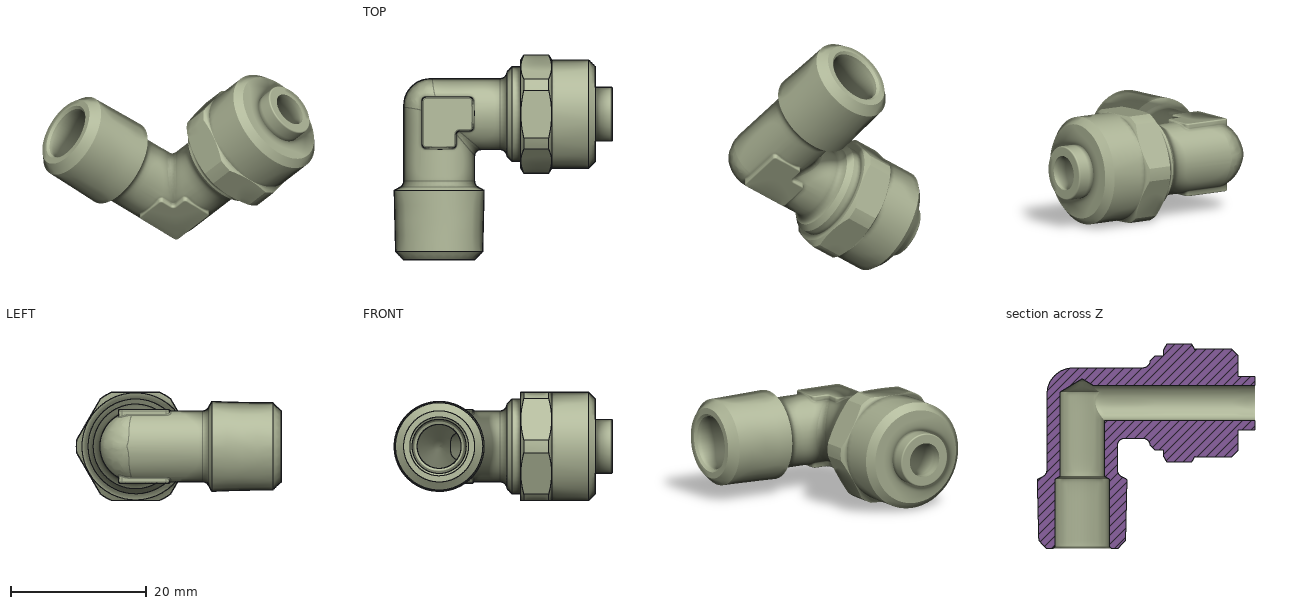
import cadquery as cq
import math

body_radius = 5.25
outer_bend_radius = 4.0
inner_bend_radius = 0.9
bend_level = 5.0

pad_height = 5.45
pad_root = 4.0
pad_half_width = 2.5
pad_length = 5.0
pad_corner_radius = 0.5
pad_edge_radius = 0.2
pad_base_radius = 0.2

neck_radius = 1.0

thread_neck_start = 9.9
thread_neck_width = 0.85
thread_start = 11.25
thread_chamfer_start = 20.25
thread_end = 21.5
thread_big_radius = 6.65
thread_small_radius = 6.44
thread_tip_radius = 5.25

collar_neck_start = 9.0
collar_radius = 7.0
nut_start = 12.0
hex_end = 16.65
hex_across_flats = 16.0
hex_corner_radius = 8.74
hex_face_radius = 7.9
hex_chamfer_angle = 30.0
sleeve_radius = 8.0
sleeve_chamfer = 1.0
sleeve_end = 23.05

tube_radius = 4.0
tube_end = 25.55
tube_edge_radius = 0.2

mouth_radius = 4.34
bore_radius = 4.0
bore_step = thread_start
inner_bore_radius = 3.25
inner_bore_floor = 1.6
drill_point_angle = 118.0
cross_bore_radius = 2.55


def turned_about_x(profile):
    """Solid of revolution about the X axis."""
    return profile.close().revolve(360, (0, 0, 0), (1, 0, 0))


def turned_about_y(profile):
    """Solid of revolution about the Y axis."""
    return profile.close().revolve(360, (0, 0, 0), (0, 1, 0))


def mitred_leg(plane, leg_end, mitre_side):
    """A round leg that runs past the origin and is cut off along the 45 degree mitre plane.

    mitre_side is +1 to keep the +X +Y side of the mitre plane and -1 to keep the other side.
    """
    overrun = 2 * body_radius
    leg = cq.Workplane(plane).workplane(offset=-overrun).circle(body_radius).extrude(overrun + leg_end)
    reach = 2 * leg_end
    kept_side = (
        cq.Workplane("XY")
        .polyline([(-reach, reach), (mitre_side * reach, mitre_side * reach), (reach, -reach)])
        .close()
        .extrude(2 * body_radius, both=True)
    )
    return leg.intersect(kept_side)


def make_elbow():
    """Two mitred legs, with the outer and inner side of the bend rounded."""
    sharp = mitred_leg("YZ", collar_neck_start, 1).union(mitred_leg("XZ", thread_neck_start, -1))
    slab_size = 4 * thread_neck_start
    slab = cq.Workplane("XY").box(slab_size, slab_size, 2 * bend_level)
    bend = sharp.intersect(slab)
    bend = bend.edges("%ELLIPSE").edges("<X").fillet(outer_bend_radius)
    bend = bend.edges("%ELLIPSE").edges(">X").fillet(inner_bend_radius)
    return bend.union(sharp.cut(slab))


def make_pad():
    """Upper L-shaped pad with rounded corners; its foot is inside the elbow."""
    side = pad_half_width
    outline = [
        (-side, side),
        (pad_length, side),
        (pad_length, -side),
        (side, -side),
        (side, -pad_length),
        (-side, -pad_length),
    ]
    pad = (
        cq.Workplane("XY", origin=(0, 0, pad_root))
        .polyline(outline)
        .close()
        .extrude(pad_height - pad_root)
    )
    return pad.edges("|Z").fillet(pad_corner_radius)


def add_pads(elbow):
    """Joins a pad to the top and one to the bottom, blends their feet and rounds their flat faces."""
    upper_pad = make_pad()
    body = elbow.union(upper_pad).union(upper_pad.mirror("XY"))
    beyond_pad = pad_length + pad_base_radius
    for side in (1, -1):
        foot_edges = cq.selectors.BoxSelector(
            (-beyond_pad, -beyond_pad, side * pad_root), (beyond_pad, beyond_pad, side * body_radius)
        )
        body = body.edges(foot_edges).edges("not |Z").fillet(pad_base_radius)
    return body.faces(">Z or <Z").edges().fillet(pad_edge_radius)


def make_threaded_end():
    """Concave neck, shoulder and slightly tapered thread body."""
    neck_end = thread_neck_start + thread_neck_width
    neck_rise = neck_radius - math.sqrt(neck_radius**2 - thread_neck_width**2)
    return turned_about_y(
        cq.Workplane("XY")
        .moveTo(0, -thread_neck_start)
        .lineTo(body_radius, -thread_neck_start)
        .radiusArc((body_radius + neck_rise, -neck_end), -neck_radius)
        .lineTo(thread_big_radius, -thread_start)
        .lineTo(thread_small_radius, -thread_chamfer_start)
        .lineTo(thread_tip_radius, -thread_end)
        .lineTo(0, -thread_end)
    )


def make_collar():
    """Concave neck, 45 degree shoulder and collar behind the nut."""
    neck_end = collar_neck_start + neck_radius
    neck_top = body_radius + neck_radius
    shoulder = collar_radius - neck_top
    return turned_about_x(
        cq.Workplane("XY")
        .moveTo(collar_neck_start, 0)
        .lineTo(collar_neck_start, body_radius)
        .radiusArc((neck_end, neck_top), -neck_radius)
        .lineTo(neck_end + shoulder, collar_radius)
        .lineTo(nut_start, collar_radius)
        .lineTo(nut_start, 0)
    )


def make_hexagon():
    """Hexagon with two flats facing Z, its corners turned down and chamfered at both ends."""
    hex_length = hex_end - nut_start
    across_corners = hex_across_flats / math.cos(math.pi / 6)
    prism = (
        cq.Workplane("YZ", origin=(nut_start, 0, 0))
        .polygon(6, across_corners)
        .extrude(hex_length)
    )
    chamfer_length = (hex_corner_radius - hex_face_radius) * math.tan(math.radians(hex_chamfer_angle))
    turned_limit = turned_about_x(
        cq.Workplane("XY")
        .moveTo(nut_start, 0)
        .lineTo(nut_start, hex_face_radius)
        .lineTo(nut_start + chamfer_length, hex_corner_radius)
        .lineTo(hex_end - chamfer_length, hex_corner_radius)
        .lineTo(hex_end, hex_face_radius)
        .lineTo(hex_end, 0)
    )
    return prism.intersect(turned_limit)


def make_sleeve_and_tube():
    """Round part of the nut and the tube stub that leaves it."""
    sleeve = cq.Workplane("YZ", origin=(hex_end, 0, 0)).circle(sleeve_radius).extrude(sleeve_end - hex_end)
    sleeve = sleeve.faces(">X").edges().chamfer(sleeve_chamfer)
    tube = cq.Workplane("YZ", origin=(sleeve_end, 0, 0)).circle(tube_radius).extrude(tube_end - sleeve_end)
    return sleeve.union(tube.faces(">X").edges().fillet(tube_edge_radius))


def make_main_bore():
    """Stepped bore from the threaded end with a chamfered mouth, a conical step and a drill-point floor."""
    mouth_depth = mouth_radius - bore_radius
    cone_slope = 1 / math.tan(math.radians(drill_point_angle / 2))
    step_depth = (bore_radius - inner_bore_radius) * cone_slope
    point_depth = inner_bore_radius * cone_slope
    return turned_about_y(
        cq.Workplane("XY")
        .moveTo(0, -thread_end)
        .lineTo(mouth_radius, -thread_end)
        .lineTo(bore_radius, -thread_end + mouth_depth)
        .lineTo(bore_radius, -bore_step)
        .lineTo(inner_bore_radius, -bore_step + step_depth)
        .lineTo(inner_bore_radius, inner_bore_floor)
        .lineTo(0, inner_bore_floor + point_depth)
    )


def make_cross_bore():
    """Passage from the main bore out through the tube stub."""
    return cq.Workplane("YZ").circle(cross_bore_radius).extrude(tube_end)


result = (
    add_pads(make_elbow())
    .union(make_threaded_end())
    .union(make_collar())
    .union(make_hexagon())
    .union(make_sleeve_and_tube())
    .cut(make_main_bore())
    .cut(make_cross_bore())
)